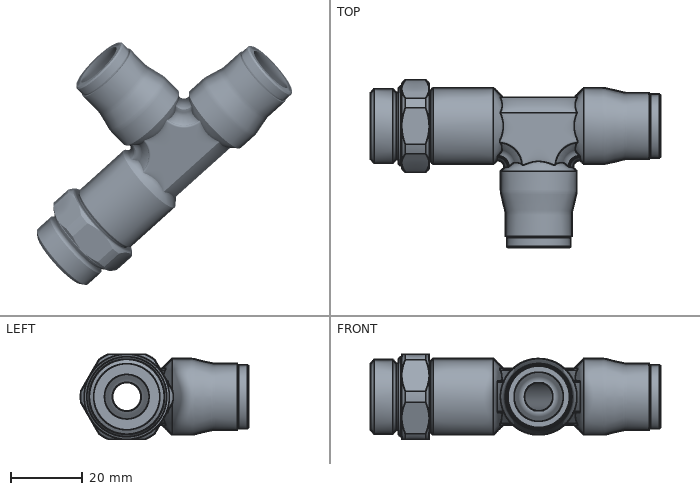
import cadquery as cq
import math


body_radius = 10.75
shoulder_station = 12.7
cone_end_radius = 7.3
through_bore_radius = 4.0

port_length = 34.2
port_taper_start = 17.9
port_taper_end = 24.85
taper_blend = 1.15
sleeve_radius = 9.4
sleeve_end = 31.05
ring_start = 31.45
ring_groove_radius = 8.8
ring_radius = 9.05
ring_chamfer = 0.4
port_bore_radius = 6.9
port_bore_floor = shoulder_station

stud_end = 47.3
stud_radius = 10.5
stud_face_radius = 9.3
stud_chamfer_length = 1.1
stud_thread_end = 41.1
neck_start = 40.1
neck_radius = 9.45
collar_start = 39.45
collar_radius = 11.25
collar_chamfer = 0.65
stud_bore_radius = 6.3

hex_start = 38.5
hex_end = 30.8
hex_across_flats = 24.0
hex_corner_radius = 13.0
hex_chamfer_length = 1.0
hex_face_radius = hex_across_flats / 2

body_start = 30.3
body_chamfer = 0.65
body_groove_radius = body_radius - body_chamfer

hub_half_height = 8.0
hub_back = 8.15
hub_back_chamfer = 4.4
hub_reach = 11.65

corner_centre = 11.4
hollow_rim_radius = 7.3
hollow_rim_round = 0.6
hollow_wall_foot = (4.9, 5.05)
hollow_foot_round_middle = (4.5, 4.65)
web_shelf_radius = 3.9
web_edge_radius = 2.6
web_half_height = 4.5
web_edge_chamfer = 0.4
web_tip_radius = 1.6


def turned_along_x(profile):
    """Revolve an outline of (station, radius) points about the X axis."""
    return profile.close().revolve(360, (0, 0, 0), (1, 0, 0))


def to_branch(arm):
    """Turn an arm lying along +X so that it points to -Y."""
    return arm.rotate((0, 0, 0), (0, 0, 1), -90)


def cylinder_along_x(start, end, radius):
    return cq.Workplane("YZ", origin=(start, 0, 0)).circle(radius).extrude(end - start)


def cone_start(direction):
    """Station and radius of the small end of a shoulder cone."""
    return direction * (shoulder_station - body_radius + cone_end_radius), cone_end_radius


def tube_port():
    """Port along +X with a rounded taper and a grooved end ring."""
    taper_slope = (body_radius - sleeve_radius) / (port_taper_end - port_taper_start - taper_blend)
    half_blend_drop = taper_slope * taper_blend / 2
    station, radius = cone_start(1)
    profile = (
        cq.Workplane("XY")
        .moveTo(station, 0)
        .lineTo(station, radius)
        .lineTo(shoulder_station, body_radius)
        .lineTo(port_taper_start, body_radius)
        .tangentArcPoint((port_taper_start + taper_blend, body_radius - half_blend_drop), relative=False)
        .lineTo(port_taper_end - taper_blend, sleeve_radius + half_blend_drop)
        .tangentArcPoint((port_taper_end, sleeve_radius), relative=False)
        .lineTo(sleeve_end, sleeve_radius)
        .lineTo(sleeve_end, ring_groove_radius)
        .lineTo(ring_start, ring_groove_radius)
        .lineTo(ring_start, ring_radius)
        .lineTo(port_length - ring_chamfer, ring_radius)
        .lineTo(port_length, ring_radius - ring_chamfer)
        .lineTo(port_length, 0)
    )
    return turned_along_x(profile)


def swivel_arm():
    """Threaded stud, collar and swivel body, without the hexagon."""
    profile = cq.Workplane("XY").polyline([
        (-stud_end, 0),
        (-stud_end, stud_face_radius),
        (-stud_end + stud_chamfer_length, stud_radius),
        (-stud_thread_end, stud_radius),
        (-neck_start, neck_radius),
        (-collar_start, neck_radius),
        (-collar_start, collar_radius - collar_chamfer),
        (-collar_start + collar_chamfer, collar_radius),
        (-hex_start, collar_radius),
        (-hex_start, body_groove_radius),
        (-body_start, body_groove_radius),
        (-body_start + body_chamfer, body_radius),
        (-shoulder_station, body_radius),
        cone_start(-1),
        (cone_start(-1)[0], 0),
    ])
    return turned_along_x(profile)


def hexagon():
    """Hexagon with flats facing +Z and -Z, its corners turned down and chamfered."""
    prism = (
        cq.Workplane("YZ", origin=(-hex_start, 0, 0))
        .polygon(6, hex_across_flats / math.cos(math.pi / 6))
        .extrude(hex_start - hex_end)
    )
    envelope = cq.Workplane("XY").polyline([
        (-hex_start, 0),
        (-hex_start, hex_face_radius),
        (-hex_start + hex_chamfer_length, hex_corner_radius),
        (-hex_end - hex_chamfer_length, hex_corner_radius),
        (-hex_end, hex_face_radius),
        (-hex_end, 0),
    ])
    return prism.intersect(turned_along_x(envelope))


def corner_hollow(side):
    """Cutter for one corner; it leaves a rounded web at mid height."""
    rim_inner = hollow_rim_radius - hollow_rim_round
    rim_height = hub_half_height - hollow_rim_round
    rim_middle_offset = hollow_rim_round * (1 - math.sqrt(0.5))
    rim_middle = (rim_inner + rim_middle_offset, hub_half_height - rim_middle_offset)
    web_face_height = web_half_height - web_edge_chamfer
    web_bulge = web_edge_radius - web_tip_radius
    web_quarter = (web_tip_radius + web_bulge / 4, web_face_height / 2)
    upper_half = (
        cq.Workplane("XZ")
        .moveTo(0, hub_half_height)
        .lineTo(hollow_rim_radius, hub_half_height)
        .threePointArc(rim_middle, (rim_inner, rim_height))
        .lineTo(*hollow_wall_foot)
        .threePointArc(hollow_foot_round_middle, (web_shelf_radius, web_half_height))
        .lineTo(web_edge_radius + web_edge_chamfer, web_half_height)
        .lineTo(web_edge_radius, web_face_height)
        .threePointArc(web_quarter, (web_tip_radius, 0))
        .lineTo(0, 0)
        .close()
        .revolve(360, (0, 0, 0), (0, 1, 0))
    )
    return upper_half.union(upper_half.mirror("XY")).translate((side * corner_centre, -corner_centre, 0))


def hub():
    """Block joining the arms, chamfered at the back and hollowed at both corners."""
    block = (
        cq.Workplane("XY")
        .box(2 * hub_reach, hub_reach + hub_back, 2 * hub_half_height)
        .translate((0, (hub_back - hub_reach) / 2, 0))
        .faces(">Y").edges("|X").chamfer(hub_back_chamfer)
    )
    for side in (-1, 1):
        block = block.cut(corner_hollow(side))
    return block


port = tube_port()
body = hub().union(swivel_arm()).union(hexagon()).union(port).union(to_branch(port))

run_bore = cylinder_along_x(-stud_end, port_length, through_bore_radius)
stud_bore = cylinder_along_x(-stud_end, -hex_end, stud_bore_radius)
branch_bore = to_branch(cylinder_along_x(0, port_length, through_bore_radius))
port_bore = cylinder_along_x(port_bore_floor, port_length, port_bore_radius)

result = (
    body
    .cut(run_bore)
    .cut(stud_bore)
    .cut(branch_bore)
    .cut(port_bore)
    .cut(to_branch(port_bore))
)